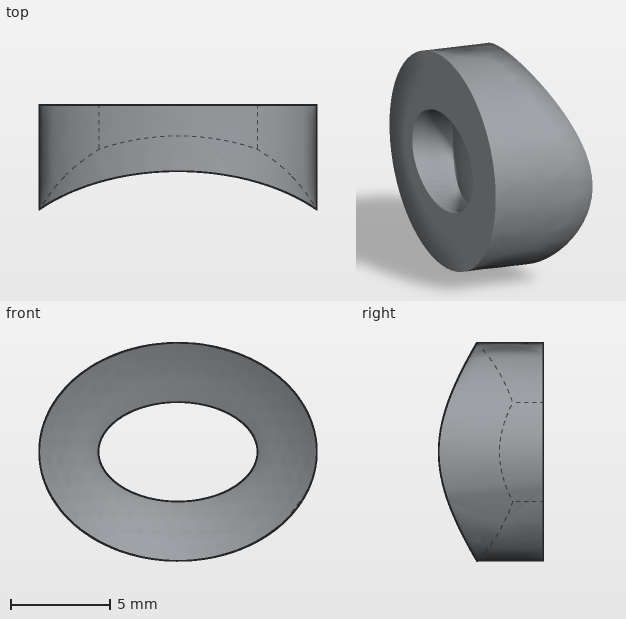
import cadquery as cq
import math

OUTER_WIDTH = 14.0
OUTER_HEIGHT = 11.0
HOLE_WIDTH = 8.0
HOLE_HEIGHT = 5.0
DEPTH = 5.28
SEAT_RADIUS = 8.0

BACK_Y = DEPTH / 2
FRONT_Y = -DEPTH / 2

SEAT_CENTER_Y = FRONT_Y - math.sqrt(SEAT_RADIUS**2 - (OUTER_WIDTH / 2) ** 2)


def oval_ring():
    """Elliptical tube running from the back face to the front plane."""
    return (
        cq.Workplane("XZ", origin=(0, BACK_Y, 0))
        .ellipse(OUTER_WIDTH / 2, OUTER_HEIGHT / 2)
        .ellipse(HOLE_WIDTH / 2, HOLE_HEIGHT / 2)
        .extrude(DEPTH)
    )


def spherical_seat():
    """Ball that hollows out the front of the ring."""
    return cq.Workplane("XY").sphere(SEAT_RADIUS).translate((0, SEAT_CENTER_Y, 0))


result = oval_ring().cut(spherical_seat())